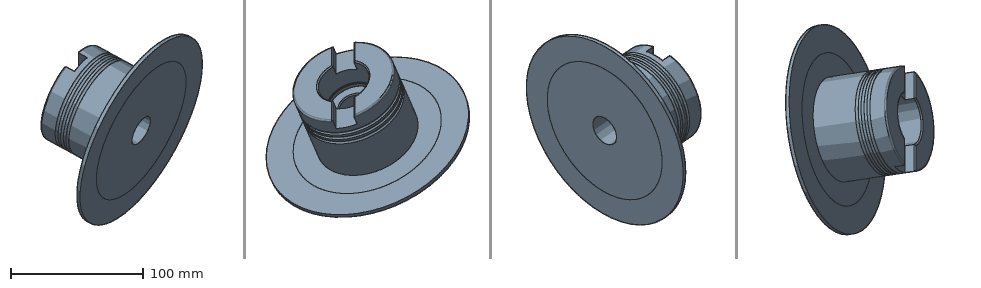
import cadquery as cq

flange_diameter = 160.0
flange_thickness = 3.0
collar_diameter = 117.1
total_length = 65.0
flange_front = total_length - flange_thickness

hub_diameter = 80.3
hub_fillet = 1.3

bore_diameter = 24.0
bore_chamfer = 1.0
counterbore_diameter = 40.0
counterbore_depth = 28.0
edge_chamfer = 1.1
snap_groove_start = 24.0
snap_groove_width = 1.1
snap_groove_depth = 0.5

slot_width = 16.5
slot_depth = 9.0

groove_count = 3
first_groove_center = 15.0
groove_pitch = 5.0
groove_width = 2.5
groove_depth = 1.04


def cylinder(diameter, start, length):
    """Solid cylinder on the X axis, from X = start."""
    return cq.Workplane("YZ", origin=(start, 0, 0)).circle(diameter / 2).extrude(length)


def countersink(diameter, start, size):
    """45 degree cone that chamfers the front rim of a hole at X = start."""
    radius = diameter / 2
    profile = [(start, 0), (start, radius + size), (start + size, radius), (start + size, 0)]
    return cq.Workplane("XY").polyline(profile).close().revolve(360, (0, 0, 0), (1, 0, 0))


def round_groove(center):
    """Ring with an arc-shaped section that cuts one round groove into the hub."""
    radius = hub_diameter / 2
    start = center - groove_width / 2
    end = center + groove_width / 2
    section = cq.Workplane("XY").moveTo(start, radius)
    section = section.threePointArc((center, radius - groove_depth), (end, radius)).close()
    return section.revolve(360, (0, 0, 0), (1, 0, 0))


def slot():
    """Slot with chamfered front edges, cut right across the hub."""
    half = slot_width / 2
    profile = [
        (0, -half - edge_chamfer),
        (edge_chamfer, -half),
        (slot_depth, -half),
        (slot_depth, half),
        (edge_chamfer, half),
        (0, half + edge_chamfer),
    ]
    return cq.Workplane("XY").polyline(profile).close().extrude(hub_diameter, both=True)


def make_hub():
    body = cylinder(hub_diameter, 0, flange_front).faces("<X").fillet(hub_fillet)
    body = body.union(cylinder(collar_diameter, flange_front, flange_thickness))
    for index in range(groove_count):
        body = body.cut(round_groove(first_groove_center + index * groove_pitch))
    body = body.cut(cylinder(bore_diameter, 0, total_length))
    body = body.cut(countersink(bore_diameter, counterbore_depth, bore_chamfer))
    body = body.cut(cylinder(counterbore_diameter, 0, counterbore_depth))
    body = body.cut(countersink(counterbore_diameter, 0, edge_chamfer))
    snap_diameter = counterbore_diameter + 2 * snap_groove_depth
    body = body.cut(cylinder(snap_diameter, snap_groove_start, snap_groove_width))
    return body.cut(slot())


def make_ring():
    disc = cylinder(flange_diameter, flange_front, flange_thickness)
    return disc.cut(cylinder(collar_diameter, flange_front, flange_thickness))


hub = make_hub()
ring = make_ring()
result = cq.Compound.makeCompound([hub.val(), ring.val()])